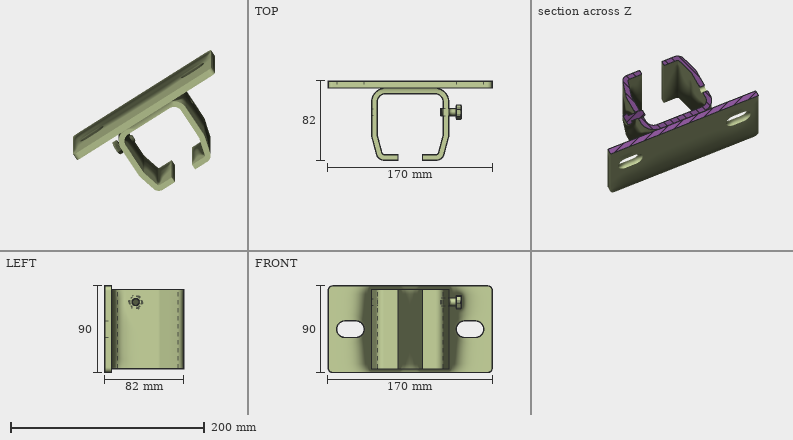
import cadquery as cq
import math


plate_length = 170.0
plate_height = 90.0
plate_thickness = 7.1
plate_corner_radius = 5.0
slot_length = 28.2
slot_width = 17.0
slot_offset = 61.9

channel_width = 80.0
channel_depth = 82.0 - plate_thickness
channel_height = 82.3
wall = 6.0
mouth_width = 25.0
back_corner_radius = 14.6
side_bend_radius = 7.0
lip_corner_radius = 8.0
side_bend_depth = 49.6
taper_angle = 15.0

screw_depth = 25.0
screw_height = 28.0
screw_diameter = 8.0
screw_tip_x = 31.3
tip_diameter = 6.8
tip_chamfer = 1.0
opposite_hole_diameter = 6.8
head_bottom_x = 47.3
head_top_x = 53.0
washer_face_thickness = 0.5
washer_face_diameter = 12.5
hex_corner_diameter = 15.0
hex_turn = 7.5
head_top_diameter = 11.9
head_chamfer_angle = 30.0


def make_plate():
    """Rounded rectangular plate with a horizontal slot near each end."""
    plate = (
        cq.Workplane("XZ")
        .rect(plate_length, plate_height)
        .extrude(-plate_thickness)
        .edges("|Y")
        .fillet(plate_corner_radius)
    )
    slots = (
        cq.Workplane("XZ")
        .pushPoints([(-slot_offset, 0), (slot_offset, 0)])
        .slot2D(slot_length, slot_width)
        .extrude(-plate_thickness)
    )
    return plate.cut(slots)


def section_prism(inset):
    """Closed channel outline moved inward by inset, with its bends rounded, as a prism."""
    half_width = channel_width / 2 - inset
    back_y = -inset
    front_y = inset - channel_depth
    taper = math.radians(taper_angle)
    bend_y = -side_bend_depth + inset * math.tan(taper / 2)
    front_half_width = half_width - (bend_y - front_y) * math.tan(taper)
    prism = (
        cq.Workplane("XY")
        .workplane(offset=-channel_height / 2)
        .polyline([
            (-half_width, back_y),
            (half_width, back_y),
            (half_width, bend_y),
            (front_half_width, front_y),
            (-front_half_width, front_y),
            (-half_width, bend_y),
        ])
        .close()
        .extrude(channel_height)
    )
    bends = [
        (half_width, back_y, back_corner_radius),
        (half_width, bend_y, side_bend_radius),
        (front_half_width, front_y, lip_corner_radius),
    ]
    for x, y, outer_radius in bends:
        for side in (-1, 1):
            corner = cq.selectors.NearestToPointSelector((side * x, y, 0))
            prism = prism.edges("|Z").edges(corner).fillet(outer_radius - inset)
    return prism


def rod_along_x(start_x, end_x, diameter):
    """Cylinder on the screw axis."""
    return (
        cq.Workplane("YZ", origin=(start_x, -screw_depth, screw_height))
        .circle(diameter / 2)
        .extrude(end_x - start_x)
    )


def make_channel():
    """Bent strip with a full-height mouth and a hole in each side wall."""
    channel = section_prism(0).cut(section_prism(wall))
    mouth_center_y = wall / 2 - channel_depth
    mouth = cq.Workplane("XY").box(mouth_width, wall, channel_height).translate((0, mouth_center_y, 0))
    outer_x = channel_width / 2
    inner_x = outer_x - wall
    screw_hole = rod_along_x(inner_x, outer_x, screw_diameter)
    opposite_hole = rod_along_x(-outer_x, -inner_x, opposite_hole_diameter)
    return channel.cut(mouth).cut(screw_hole).cut(opposite_hole)


def make_head():
    """Hexagon with its outer corners trimmed by a cone."""
    hex_start_x = head_bottom_x + washer_face_thickness
    hexagon = (
        cq.Workplane("YZ", origin=(hex_start_x, -screw_depth, screw_height))
        .transformed(rotate=(0, 0, hex_turn))
        .polygon(6, hex_corner_diameter)
        .extrude(head_top_x - hex_start_x)
    )
    corner_radius = hex_corner_diameter / 2
    top_radius = head_top_diameter / 2
    chamfer_drop = (corner_radius - top_radius) * math.tan(math.radians(head_chamfer_angle))
    trimming_profile = (
        cq.Workplane("XY", origin=(0, -screw_depth, screw_height))
        .polyline([
            (hex_start_x, 0),
            (hex_start_x, corner_radius),
            (head_top_x - chamfer_drop, corner_radius),
            (head_top_x, top_radius),
            (head_top_x, 0),
        ])
        .close()
    )
    trimming_cone = trimming_profile.revolve(360, (0, 0, 0), (1, 0, 0))
    return hexagon.intersect(trimming_cone)


def make_screw():
    """Hex screw with a tapered tip and a washer face under its head."""
    tip_step = (screw_diameter - tip_diameter) / 2
    shank = rod_along_x(screw_tip_x, head_bottom_x, screw_diameter)
    shank = shank.faces("<X").edges().chamfer(tip_chamfer, tip_step)
    washer_face = rod_along_x(head_bottom_x, head_bottom_x + washer_face_thickness, washer_face_diameter)
    return shank.union(washer_face).union(make_head())


plate = make_plate()
channel = make_channel()
screw = make_screw()

result = cq.Compound.makeCompound([plate.val(), channel.val(), screw.val()])